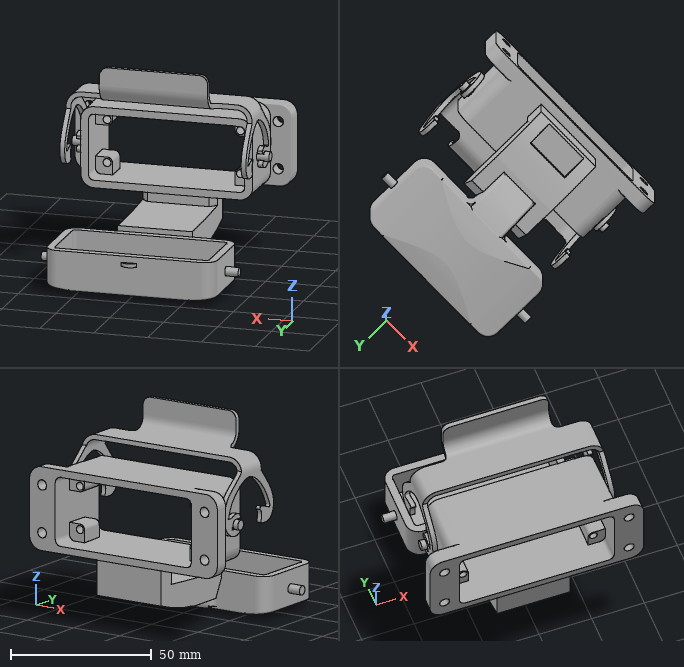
import cadquery as cq
import math

WALL_OVERLAP = 0.8

FLANGE_LENGTH = 81.2
FLANGE_HEIGHT = 30.85
FLANGE_THICKNESS = 5.8
FLANGE_CORNER = 5.1
FLANGE_EDGE = 0.65
FACE_LAND = 1.6
FLANGE_HOLE_RADIUS = 1.9
FLANGE_HOLE_X = 35.1
FLANGE_HOLE_Z = 8.8

BODY_DEPTH = 27.0
BODY_LENGTH = 64.6
BODY_CORNER = 5.35
OUTER_DRAFT = 0.8

OPENING_LENGTH = 58.8
OPENING_HEIGHT = 25.3
OPENING_CORNER = 2.4
OPENING_DRAFT = 1.0

BOSS_EDGE_X = 22.7
BOSS_EDGE_Z = 5.9
BOSS_CORNER = 2.0
BOSS_FRONT = 8.8
BOSS_BACK = 18.1
BOSS_HOLE_RADIUS = 1.5

PIN_TIP_X = 36.6
PIVOT_Y = 20.55
PIVOT_RADIUS = 1.9

ARM_HALF_WIDTH = 13.9
ARM_FRONT = 3.4
ARM_BACK = 10.2
ARM_END = 41.65
ARM_BOTTOM = -33.8
RIB_DEPTH = 2.4
RIB_BOTTOM = -22.8
ARM_ROOT = 2 * WALL_OVERLAP - FLANGE_HEIGHT / 2
RECESS_HALF_WIDTH = 8.8
RECESS_CEILING = -29.8
RECESS_BACK = 13.8

LEVER_HALF_LENGTH = 34.6
LEVER_THICKNESS = 1.9
LEVER_TOP = 23.1
LEVER_BEND = 5.8
BAND_FOOT = -4.9
STRAP_FRONT = 24.6
STRAP_BACK = 36.5
TAB_HALF_LENGTH = 20.1
TAB_TOP = 34.9
TAB_BACK = 43.5
TAB_BEND = 4.9
TAB_CORNER = 3.2
TAB_FLARE = 2.4
JAW_ANGLE = 38
RELIEF_RADIUS = 0.5
RELIEF_OFFSET = 2.3
RELIEF_ANGLE = 213

COVER_LENGTH = 63.3
COVER_WIDTH = 30.1
COVER_Y = 59.1
COVER_TOP = -25.0
COVER_BOTTOM = -41.1
COVER_CORNER = 4.95
COVER_WALL = 3.0
COVER_EDGE = 0.8
POCKET_CORNER = 1.3
LONG_CROWN_RADIUS = 198.9
CROSS_CROWN_RADIUS = 70.65
RIDGE_Y = 5.4
COVER_PIN_RADIUS = 1.7
COVER_PIN_Z = -32.0
NUB_RADIUS = 3.6
NUB_REACH = 1.5
NUB_TOP = -27.4
NUB_THICKNESS = 1.4

TONGUE_HALF_WIDTH = 8.0
TONGUE_FLARE = 2.0
TONGUE_TIP = 27.6
TONGUE_TOP = -27.4
TONGUE_ROOT_BOTTOM = -39.95
TONGUE_EDGE = 1.2
FLARE_BOTTOM = -38.65

COVER_FRONT = COVER_Y - COVER_WIDTH / 2
COVER_BACK = COVER_Y + COVER_WIDTH / 2


def facing_back(y):
    """Sketch plane at the given Y whose extrusions run toward +Y (its local vertical is -Z)."""
    return cq.Workplane(cq.Plane(origin=(0, y, 0), xDir=(1, 0, 0), normal=(0, 1, 0)))


def box(x0, x1, y0, y1, z0, z1):
    return cq.Workplane("XY").box(x1 - x0, y1 - y0, z1 - z0, centered=False).translate((x0, y0, z0))


def side_pins(y, z, radius, root_x):
    """Pair of round pins along X, from root_x out to the pin tips on both sides."""
    pin = cq.Workplane("YZ").center(y, z).circle(radius).extrude(PIN_TIP_X - root_x)
    right = pin.translate((root_x, 0, 0))
    return right.union(right.mirror("YZ"))


def drafted_prism(length, height, corner, depth, draft):
    """Rounded prism from Y = 0: straight for the face land, then drafted down to depth."""
    outline = cq.Sketch().rect(length, height).vertices().fillet(corner)
    land = facing_back(0).placeSketch(outline).extrude(FACE_LAND)
    drafted = facing_back(FACE_LAND).placeSketch(outline).extrude(depth - FACE_LAND, taper=draft)
    return land.union(drafted)


def housing_shell():
    """Flange and body; their tops and bottoms share the same drafted planes."""
    flange = drafted_prism(FLANGE_LENGTH, FLANGE_HEIGHT, FLANGE_CORNER, FLANGE_THICKNESS, OUTER_DRAFT)
    flange = flange.faces(">Y").edges().fillet(FLANGE_EDGE)
    body = drafted_prism(BODY_LENGTH, FLANGE_HEIGHT, BODY_CORNER, BODY_DEPTH, OUTER_DRAFT)
    return flange.union(body)


def housing_opening():
    return drafted_prism(OPENING_LENGTH, OPENING_HEIGHT, OPENING_CORNER, BODY_DEPTH, OPENING_DRAFT)


def screw_boss(side, level):
    """Drilled boss in one inner corner; side and level are the signs of its X and Z."""
    outer_x = OPENING_LENGTH / 2 + WALL_OVERLAP
    outer_z = OPENING_HEIGHT / 2 + WALL_OVERLAP
    boss = box(BOSS_EDGE_X, outer_x, BOSS_FRONT, BOSS_BACK, BOSS_EDGE_Z, outer_z)
    boss = boss.edges("|Y and <X and <Z").fillet(BOSS_CORNER)
    hole_x = BOSS_EDGE_X + BOSS_CORNER
    hole_z = -(BOSS_EDGE_Z + BOSS_CORNER)
    hole = facing_back(BOSS_FRONT).center(hole_x, hole_z).circle(BOSS_HOLE_RADIUS)
    boss = boss.cut(hole.extrude(BOSS_BACK - BOSS_FRONT))
    if side < 0:
        boss = boss.mirror("YZ")
    if level < 0:
        boss = boss.mirror("XY")
    return boss


def hinge_arm():
    """Block that drops from the housing and reaches back to hold the cover tongue."""
    arm = (
        cq.Workplane("YZ")
        .moveTo(ARM_FRONT, ARM_ROOT)
        .lineTo(ARM_BACK, ARM_ROOT)
        .lineTo(ARM_BACK, RIB_BOTTOM)
        .lineTo(24.4, -23.6)
        .lineTo(ARM_END, -23.8)
        .lineTo(ARM_END, -26.6)
        .lineTo(37.9, ARM_BOTTOM)
        .lineTo(25.5, ARM_BOTTOM)
        .threePointArc((14.8, -32.5), (ARM_FRONT, -29.5))
        .close()
        .extrude(ARM_HALF_WIDTH, both=True)
    )
    rib = (
        cq.Workplane("XY", origin=(0, 0, RIB_BOTTOM))
        .moveTo(-ARM_HALF_WIDTH, ARM_BACK)
        .lineTo(ARM_HALF_WIDTH, ARM_BACK)
        .lineTo(ARM_HALF_WIDTH - RIB_DEPTH, ARM_BACK + RIB_DEPTH)
        .lineTo(-ARM_HALF_WIDTH + RIB_DEPTH, ARM_BACK + RIB_DEPTH)
        .close()
        .extrude(ARM_ROOT - RIB_BOTTOM)
    )
    recess = box(-RECESS_HALF_WIDTH, RECESS_HALF_WIDTH, ARM_FRONT, RECESS_BACK, COVER_BOTTOM, RECESS_CEILING)
    slot = box(-TONGUE_HALF_WIDTH, TONGUE_HALF_WIDTH, TONGUE_TIP, ARM_END, COVER_BOTTOM, TONGUE_TOP)
    return arm.union(rib).cut(recess).cut(slot)


def make_housing():
    housing = housing_shell().union(hinge_arm()).cut(housing_opening())
    for side in (-1, 1):
        for level in (-1, 1):
            housing = housing.union(screw_boss(side, level))
    holes = facing_back(0).rect(2 * FLANGE_HOLE_X, 2 * FLANGE_HOLE_Z, forConstruction=True).vertices()
    housing = housing.cut(holes.circle(FLANGE_HOLE_RADIUS).extrude(FLANGE_THICKNESS))
    pin_root = OPENING_LENGTH / 2 + WALL_OVERLAP
    return housing.union(side_pins(PIVOT_Y, 0, PIVOT_RADIUS, pin_root))


def lever_band():
    """Flat strip bent to an upside-down U, wide enough in Y for the whole side outline."""
    outer = box(-LEVER_HALF_LENGTH, LEVER_HALF_LENGTH, 0, TAB_BACK + LEVER_BEND, BAND_FOOT, LEVER_TOP)
    outer = outer.edges("|Y and >Z").fillet(LEVER_BEND)
    inner_half = LEVER_HALF_LENGTH - LEVER_THICKNESS
    inner = box(-inner_half, inner_half, 0, TAB_BACK + LEVER_BEND, BAND_FOOT, LEVER_TOP - LEVER_THICKNESS)
    inner = inner.edges("|Y and >Z").fillet(LEVER_BEND - LEVER_THICKNESS)
    return outer.cut(inner)


def lever_side_outline():
    """Side shape of the lever: strap on top, pivot hook on the housing pin, latch hook behind."""
    jaw_angle = math.radians(JAW_ANGLE)
    jaw_y = PIVOT_Y + PIVOT_RADIUS * math.cos(jaw_angle)
    jaw_z = PIVOT_RADIUS * math.sin(jaw_angle)
    return (
        cq.Workplane("YZ")
        .moveTo(STRAP_BACK, LEVER_TOP)
        .lineTo(STRAP_FRONT, LEVER_TOP)
        .lineTo(24.2, 18.6)
        .spline([(20.55, 15.1), (15.35, 10.2), (13.2, 4.0), (15.35, -2.35), (20.1, -4.2), (23.15, -2.9)],
                includeCurrent=True)
        .threePointArc((23.3, -2.2), (22.5, -1.4))
        .lineTo(jaw_y, -jaw_z)
        .threePointArc((PIVOT_Y - PIVOT_RADIUS, 0), (jaw_y, jaw_z))
        .lineTo(22.2, 1.7)
        .lineTo(23.5, 1.6)
        .lineTo(23.5, 2.7)
        .spline([(22.25, 3.6), (20.55, 3.8), (17.8, 2.9), (15.9, 2.85)], includeCurrent=True)
        .spline([(17.4, 7.15), (23.5, 13.5), (28.9, 15.7), (36.1, 11.8), (40.2, 6.3), (41.65, 3.2)],
                includeCurrent=True)
        .threePointArc((41.6, 2.35), (40.8, 2.3))
        .spline([(39.05, 2.85), (36.7, 3.3)], includeCurrent=True)
        .threePointArc((35.65, 2.9), (35.65, 2.3))
        .spline([(36.45, 1.1), (36.5, -0.65), (36.2, -1.95)], includeCurrent=True)
        .threePointArc((36.4, -2.7), (37.0, -3.0))
        .lineTo(39.05, -3.0)
        .spline([(43.1, -0.9), (44.2, 4.0), (41.9, 9.75), (STRAP_BACK, 16.6)], includeCurrent=True)
        .close()
        .extrude(LEVER_HALF_LENGTH, both=True)
    )


def lever_tab():
    """Finger tab that bends up from the back edge of the strap."""
    outer_bend = TAB_BEND + LEVER_THICKNESS
    bend_y = TAB_BACK - outer_bend
    bend_z = LEVER_TOP + TAB_BEND
    diagonal = math.sqrt(0.5)
    root_y = STRAP_BACK - WALL_OVERLAP
    inside = LEVER_TOP - LEVER_THICKNESS
    profile = (
        cq.Workplane("YZ")
        .moveTo(root_y, inside)
        .lineTo(bend_y, inside)
        .threePointArc((bend_y + outer_bend * diagonal, bend_z - outer_bend * diagonal), (TAB_BACK, bend_z))
        .lineTo(TAB_BACK, TAB_TOP)
        .lineTo(TAB_BACK - LEVER_THICKNESS, TAB_TOP)
        .lineTo(TAB_BACK - LEVER_THICKNESS, bend_z)
        .threePointArc((bend_y + TAB_BEND * diagonal, bend_z - TAB_BEND * diagonal), (bend_y, LEVER_TOP))
        .lineTo(root_y, LEVER_TOP)
        .close()
        .extrude(TAB_HALF_LENGTH + TAB_FLARE, both=True)
    )
    straight = box(-TAB_HALF_LENGTH, TAB_HALF_LENGTH, root_y, TAB_BACK, inside, TAB_TOP)
    straight = straight.edges("|Y and >Z").fillet(TAB_CORNER)
    root = box(-TAB_HALF_LENGTH - TAB_FLARE, TAB_HALF_LENGTH + TAB_FLARE,
               root_y, STRAP_BACK + TAB_FLARE, inside, bend_z)
    hollows = (
        cq.Workplane("XY", origin=(0, 0, inside))
        .pushPoints([(side * (TAB_HALF_LENGTH + TAB_FLARE), STRAP_BACK + TAB_FLARE) for side in (-1, 1)])
        .circle(TAB_FLARE)
        .extrude(bend_z - inside)
    )
    return profile.intersect(straight.union(root.cut(hollows)))


def make_lever():
    """Latch lever; a small round relief opens into the pin seat."""
    lever = lever_band().intersect(lever_side_outline()).union(lever_tab())
    angle = math.radians(RELIEF_ANGLE)
    relief = (
        cq.Workplane("YZ")
        .center(PIVOT_Y + RELIEF_OFFSET * math.cos(angle), RELIEF_OFFSET * math.sin(angle))
        .circle(RELIEF_RADIUS)
        .extrude(LEVER_HALF_LENGTH, both=True)
    )
    return lever.cut(relief)


def crowned_block(length, width, corner, bottom):
    """Rounded block from the cover rim down whose bottom bulges in two crossing barrels."""
    block = (
        cq.Workplane("XY", origin=(0, COVER_Y, bottom))
        .rect(length, width)
        .extrude(COVER_TOP - bottom)
        .edges("|Z")
        .fillet(corner)
    )
    long_crown = (
        cq.Workplane("XZ", origin=(0, COVER_Y, 0))
        .center(0, bottom + LONG_CROWN_RADIUS)
        .circle(LONG_CROWN_RADIUS)
        .extrude(width, both=True)
    )
    ridge_drop = CROSS_CROWN_RADIUS - math.sqrt(CROSS_CROWN_RADIUS**2 - RIDGE_Y**2)
    cross_crown = (
        cq.Workplane("YZ")
        .center(COVER_Y, bottom - ridge_drop + CROSS_CROWN_RADIUS)
        .circle(CROSS_CROWN_RADIUS)
        .extrude(length, both=True)
    )
    return block.intersect(long_crown).intersect(cross_crown)


def cover_tongue():
    """Tongue that enters the hinge arm, flared where it leaves the cover."""
    root_y = COVER_FRONT + COVER_WALL - WALL_OVERLAP
    side_view = (
        cq.Workplane("YZ")
        .moveTo(TONGUE_TIP, TONGUE_TOP)
        .lineTo(root_y, TONGUE_TOP)
        .lineTo(root_y, TONGUE_ROOT_BOTTOM)
        .threePointArc((37.35, -38.0), (TONGUE_TIP, ARM_BOTTOM))
        .close()
        .extrude(TONGUE_HALF_WIDTH, both=True)
    )
    return side_view.faces("<Z").edges("not >Y").fillet(TONGUE_EDGE)


def tongue_flare(side):
    """Concave fillet between the tongue side and the cover wall; side is the sign of its X."""
    start_y = COVER_FRONT - TONGUE_FLARE
    flare = (
        cq.Workplane("XY", origin=(0, 0, FLARE_BOTTOM))
        .moveTo(TONGUE_HALF_WIDTH - WALL_OVERLAP, start_y)
        .lineTo(TONGUE_HALF_WIDTH, start_y)
        .radiusArc((TONGUE_HALF_WIDTH + TONGUE_FLARE, COVER_FRONT), TONGUE_FLARE)
        .lineTo(TONGUE_HALF_WIDTH + TONGUE_FLARE, COVER_FRONT + WALL_OVERLAP)
        .lineTo(TONGUE_HALF_WIDTH - WALL_OVERLAP, COVER_FRONT + WALL_OVERLAP)
        .close()
        .extrude(TONGUE_TOP - FLARE_BOTTOM)
    )
    return flare if side > 0 else flare.mirror("YZ")


def make_cover():
    shell = crowned_block(COVER_LENGTH, COVER_WIDTH, COVER_CORNER, COVER_BOTTOM)
    bottom_zone = cq.selectors.BoxSelector(
        (-COVER_LENGTH, 0, COVER_BOTTOM - COVER_EDGE),
        (COVER_LENGTH, 2 * COVER_Y, COVER_BOTTOM + COVER_WALL),
    )
    shell = shell.edges(bottom_zone).fillet(COVER_EDGE)
    nub = (
        cq.Workplane("XY", origin=(0, COVER_BACK + NUB_REACH - NUB_RADIUS, NUB_TOP - NUB_THICKNESS))
        .circle(NUB_RADIUS)
        .extrude(NUB_THICKNESS)
    )
    cover = shell.union(cover_tongue()).union(nub)
    for side in (-1, 1):
        cover = cover.union(tongue_flare(side))
    pocket = crowned_block(
        COVER_LENGTH - 2 * COVER_WALL, COVER_WIDTH - 2 * COVER_WALL, POCKET_CORNER, COVER_BOTTOM + COVER_WALL
    )
    cover = cover.cut(pocket)
    return cover.union(side_pins(COVER_Y, COVER_PIN_Z, COVER_PIN_RADIUS, COVER_LENGTH / 2 - WALL_OVERLAP))


housing = make_housing()
lever = make_lever()
cover = make_cover()

result = cq.Compound.makeCompound([housing.solids().val(), lever.solids().val(), cover.solids().val()])